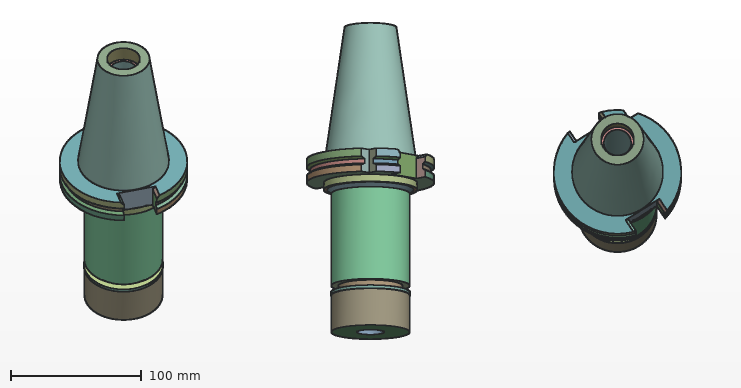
import cadquery as cq


total_height = 236.8
gauge_height = 135.0
flange_top = 134.0
flange_bottom = 116.0
collar_bottom = 110.5
barrel_bottom = 36.0
ring_top = 31.0
ring_bottom = 28.6
nut_top = 28.5
neck_bottom = 11.8

taper_per_side = 7 / 48
gauge_radius = 34.8
taper_tip_radius = gauge_radius - taper_per_side * (total_height - gauge_height)
flange_radius = 48.8
collar_radius = 35.7
barrel_radius = 30.0
neck_radius = 24.6

cone_height = 3.0
cone_radius = barrel_radius + cone_height

groove_floor_radius = 46.2
groove_centre = 124.5
groove_floor_width = 3.3
groove_mouth_width = 6.6

slot_half_width = 13.0
slot_chamfer = 2.4
left_slot_floor = 37.5
right_slot_floor = 35.3
notch_x = 30.3
notch_y = 30.0

bore_radius = 10.5
counterbore_radius = 12.5
counterbore_depth = 11.4

nut_radius = barrel_radius
ring_radius = 30.3
nut_boss_radius = 27.0


def revolve_profile(points):
    """Turn (radius, height) points around the Z axis."""
    return cq.Workplane("YZ").polyline(points).close().revolve(360, (0, 0, 0), (0, 1, 0))


def cylinder(radius, bottom, top):
    """Cylinder on the Z axis between two heights."""
    return cq.Workplane("XY").workplane(offset=bottom).circle(radius).extrude(top - bottom)


def holder_blank():
    """Turned shape of the holder: neck, barrel, collar, grooved flange and taper."""
    return revolve_profile([
        (0, neck_bottom),
        (neck_radius, neck_bottom),
        (neck_radius, barrel_bottom),
        (barrel_radius, barrel_bottom),
        (barrel_radius, collar_bottom - cone_height),
        (cone_radius, collar_bottom),
        (collar_radius, collar_bottom),
        (collar_radius, flange_bottom),
        (flange_radius, flange_bottom),
        (flange_radius, groove_centre - groove_mouth_width / 2),
        (groove_floor_radius, groove_centre - groove_floor_width / 2),
        (groove_floor_radius, groove_centre + groove_floor_width / 2),
        (flange_radius, groove_centre + groove_mouth_width / 2),
        (flange_radius, flange_top),
        (gauge_radius, flange_top),
        (gauge_radius, gauge_height),
        (taper_tip_radius, total_height),
        (0, total_height),
    ])


def drive_slot(side, floor):
    """Slot across the flange rim, chamfered along its top edges; side is -1 or 1 along X."""
    chamfer_start = flange_top - slot_chamfer
    mouth_half_width = slot_half_width + slot_chamfer
    profile = (
        cq.Workplane("YZ").workplane(offset=side * floor)
        .moveTo(-slot_half_width, flange_bottom)
        .lineTo(slot_half_width, flange_bottom)
        .lineTo(slot_half_width, chamfer_start)
        .lineTo(mouth_half_width, flange_top)
        .lineTo(-mouth_half_width, flange_top)
        .lineTo(-slot_half_width, chamfer_start)
        .close()
    )
    return profile.extrude(side * (flange_radius - floor))


def orientation_notch():
    """Square corner taken out of the flange on its -X, +Y side."""
    return (
        cq.Workplane("XY").workplane(offset=flange_bottom)
        .moveTo(-notch_x, notch_y)
        .rect(-flange_radius, flange_radius, centered=False)
        .extrude(flange_top - flange_bottom)
    )


def make_holder():
    """Holder with drive slots, orientation notch and stepped through bore."""
    holder = holder_blank()
    for side, floor in ((-1, left_slot_floor), (1, right_slot_floor)):
        holder = holder.cut(drive_slot(side, floor))
    holder = holder.cut(orientation_notch())
    holder = holder.cut(cylinder(bore_radius, neck_bottom, total_height))
    return holder.cut(cylinder(counterbore_radius, total_height - counterbore_depth, total_height))


def make_ring():
    """Ring around the neck."""
    return revolve_profile([
        (neck_radius, ring_bottom),
        (ring_radius, ring_bottom),
        (ring_radius, ring_top),
        (neck_radius, ring_top),
    ])


def make_nut():
    """Nut with a recess for the neck and a boss that carries the ring."""
    return revolve_profile([
        (bore_radius, 0),
        (nut_radius, 0),
        (nut_radius, nut_top),
        (nut_boss_radius, nut_top),
        (nut_boss_radius, ring_bottom),
        (neck_radius, ring_bottom),
        (neck_radius, neck_bottom),
        (bore_radius, neck_bottom),
    ])


holder = make_holder()
ring = make_ring()
nut = make_nut()
result = cq.Compound.makeCompound([holder.val(), ring.val(), nut.val()])